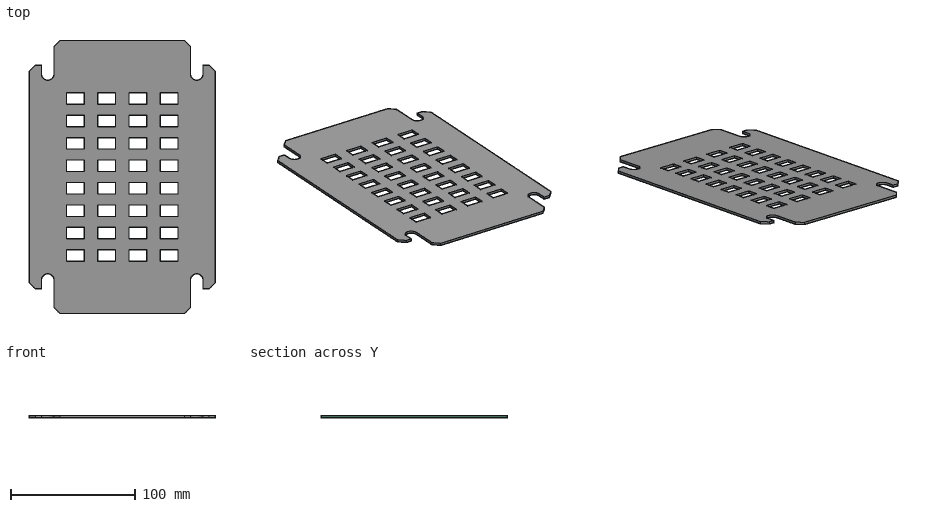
import cadquery as cq

plate_width = 150.0
plate_length = 220.0
thickness = 2.0

tab_width = 110.0
ear_span = 180.0
slot_width = 10.0
slot_bottom_span = 156.0
corner_chamfer = 5.0

window_columns = 4
window_rows = 8
window_width = 14.0
window_length = 9.0
column_pitch = 25.0
row_pitch = 18.0

half_width = plate_width / 2
half_length = plate_length / 2
half_tab = tab_width / 2
half_ear = ear_span / 2
slot_bottom = slot_bottom_span / 2
slot_radius = slot_width / 2
slot_outer = half_tab + slot_width
slot_arc_start = slot_bottom + slot_radius


def quarter_profile():
    """Quarter of the plate outline, in +X +Y, closed through the plate centre."""
    return (
        cq.Workplane("XY")
        .moveTo(0, 0)
        .lineTo(half_width, 0)
        .lineTo(half_width, half_ear - corner_chamfer)
        .lineTo(half_width - corner_chamfer, half_ear)
        .lineTo(slot_outer, half_ear)
        .lineTo(slot_outer, slot_arc_start)
        .threePointArc((half_tab + slot_radius, slot_bottom), (half_tab, slot_arc_start))
        .lineTo(half_tab, half_length - corner_chamfer)
        .lineTo(half_tab - corner_chamfer, half_length)
        .lineTo(0, half_length)
        .close()
    )


def make_plate():
    """Mirror the quarter plate across both centre planes."""
    quarter = quarter_profile().extrude(thickness)
    half = quarter.union(quarter.mirror("YZ"))
    return half.union(half.mirror("XZ")).clean()


def cut_windows(plate):
    """Cut the centred grid of windows through the plate."""
    return (
        plate.faces(">Z")
        .workplane(origin=(0, 0, thickness))
        .rarray(column_pitch, row_pitch, window_columns, window_rows)
        .rect(window_width, window_length)
        .cutThruAll()
    )


result = cut_windows(make_plate())